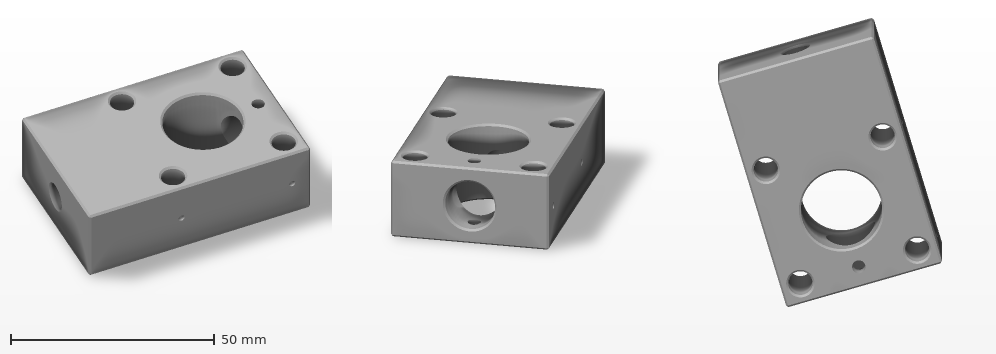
import cadquery as cq

length = 60.0
width = length * 2 / 3
height = length / 3
edge_chamfer = length / 120

bore_diameter = length / 3
bore_y = length / 6
bolt_diameter = 6.0
bolt_spacing = length / 2
bolt_rim_chamfer = edge_chamfer

vent_diameter = 3.3

front_passage_diameter = 6.6
rear_passage_diameter = 12.6

side_hole_diameter = 1.7

bolt_x = bolt_spacing / 2
bolt_points = [(x, bore_y + y) for x in (-bolt_x, bolt_x) for y in (-bolt_x, bolt_x)]


def vertical_hole(x, y, diameter, chamfer=0.0):
    """Through-hole cutter along Z, optionally flared at both ends."""
    radius = diameter / 2
    cutter = cq.Workplane("XY").center(x, y).circle(radius).extrude(height, both=True)
    if chamfer:
        for end, inward in ((height / 2, -1), (-height / 2, 1)):
            direction = cq.Vector(0, 0, inward)
            flare = cq.Solid.makeCone(radius + chamfer, radius, chamfer, cq.Vector(x, y, end), direction)
            cutter = cutter.union(cq.Workplane(flare))
    return cutter


def passage(diameter, end_y, inward):
    """Horizontal cutter from an end face to the bore axis, flared at the face."""
    radius = diameter / 2
    start = cq.Vector(0, end_y, 0)
    direction = cq.Vector(0, inward, 0)
    shaft = cq.Solid.makeCylinder(radius, abs(end_y - bore_y), start, direction)
    flare = cq.Solid.makeCone(radius + edge_chamfer, radius, edge_chamfer, start, direction)
    return cq.Workplane(shaft).union(cq.Workplane(flare))


def side_hole(x, y):
    """Cross-hole cutter from the nearest side face to a bolt axis."""
    side = 1 if x > 0 else -1
    start = cq.Vector(side * width / 2, y, 0)
    depth = width / 2 - abs(x)
    return cq.Solid.makeCylinder(side_hole_diameter / 2, depth, start, cq.Vector(-side, 0, 0))


result = cq.Workplane("XY").box(width, length, height).edges().chamfer(edge_chamfer)

result = result.cut(vertical_hole(0, bore_y, bore_diameter, edge_chamfer))
result = result.cut(vertical_hole(0, bore_y + bolt_x, vent_diameter))
result = result.cut(passage(front_passage_diameter, -length / 2, 1))
result = result.cut(passage(rear_passage_diameter, length / 2, -1))

for x, y in bolt_points:
    result = result.cut(vertical_hole(x, y, bolt_diameter, bolt_rim_chamfer))
    result = result.cut(cq.Workplane(side_hole(x, y)))